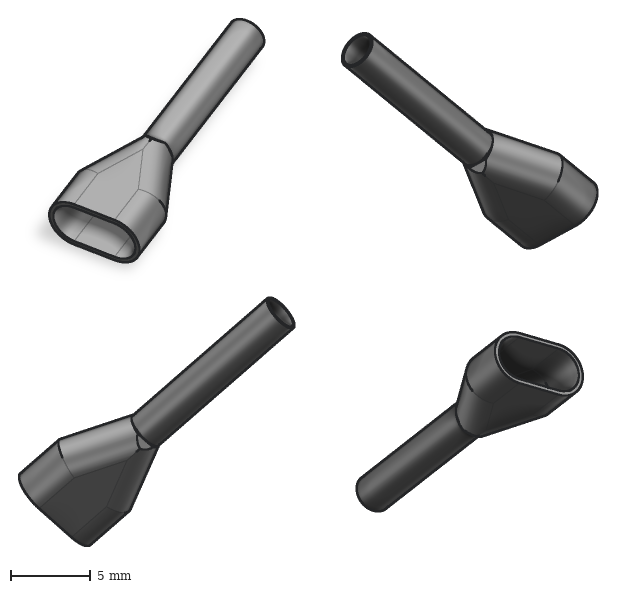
import cadquery as cq
import math

total_length = 20.0
sleeve_length = 8.0
sleeve_width = 6.5
sleeve_height = 3.6
sleeve_wall = 0.3
straight_length = 3.5

tube_diameter = 2.5
tube_wall = 0.15
tube_bore = tube_diameter - 2 * tube_wall


def slot_prism(width, height, y_start, y_end, x_centre=0):
    """Straight prism along +Y with a round-ended cross-section."""
    return (
        cq.Workplane("XZ", origin=(x_centre, y_start, 0))
        .slot2D(width, height)
        .extrude(y_start - y_end)
    )


def taper_cutoff(width, height, end_width):
    """Tilted slot prism that bounds the +X side of the taper."""
    edge_x = end_width / 2
    taper_run = sleeve_length - straight_length
    tilt = math.degrees(math.atan2((width - end_width) / 2, taper_run))
    reach = 3 * sleeve_width
    prism = slot_prism(reach, height, -sleeve_length, 2 * sleeve_length, edge_x - reach / 2)
    return prism.rotate((edge_x, sleeve_length, 0), (edge_x, sleeve_length, 1), tilt)


def bevel_envelope(width, height, end_height):
    """Block with its top and bottom bevelled at 45 degrees towards the narrow end."""
    half_height = height / 2
    half_end = end_height / 2
    bevel_start = sleeve_length - (half_height - half_end)
    return (
        cq.Workplane("YZ")
        .polyline([
            (0, -half_height),
            (bevel_start, -half_height),
            (sleeve_length, -half_end),
            (sleeve_length, half_end),
            (bevel_start, half_height),
            (0, half_height),
        ])
        .close()
        .extrude(width / 2, both=True)
    )


def sleeve_form(width, height, end_size):
    """Slot-shaped body tapering to a lens-shaped narrow end."""
    cutoff = taper_cutoff(width, height, end_size)
    return (
        slot_prism(width, height, 0, sleeve_length)
        .intersect(cutoff)
        .intersect(cutoff.mirror("YZ"))
        .intersect(bevel_envelope(width, height, end_size))
    )


def make_sleeve():
    outside = sleeve_form(sleeve_width, sleeve_height, tube_diameter)
    inside = sleeve_form(sleeve_width - 2 * sleeve_wall, sleeve_height - 2 * sleeve_wall, tube_bore)
    return outside.cut(inside).solids()


def make_tube():
    return (
        cq.Workplane("XZ", origin=(0, sleeve_length, 0))
        .circle(tube_diameter / 2)
        .circle(tube_bore / 2)
        .extrude(sleeve_length - total_length)
    )


sleeve = make_sleeve()
tube = make_tube()
result = cq.Compound.makeCompound([sleeve.val(), tube.val()])